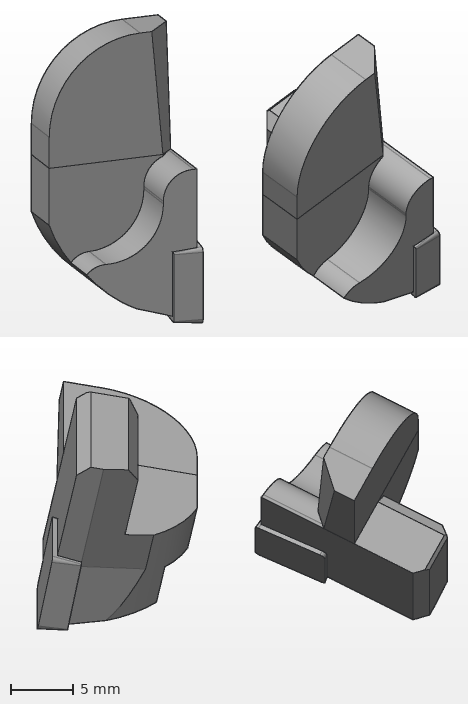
import cadquery as cq
import math

back_y = 10.92
plate_left, plate_right = 6.3, 10.2
top_z = 23.45
split_z = 12.99
far_x = 16.4
margin = 2.35

plate_radius = 7.83

corner_leg_top = 2.09
corner_leg_split = 1.13

shank_front_y = 5.9
shank_chamfer = 0.98
shank_top_chamfer = 0.28

heel_y = 8.9
heel_z = 1.69
rise_angle = 15.0
drop_start_x = 9.47
drop_angle = 10.4
belly_start_z = 8.18
belly_mid = (2.35, 4.27)
belly_end = (5.88, 1.66)

shoulder_y = 10.65
shoulder_radius = 2.48
shoulder_wall = 0.2
valley_radius = 4.7
lip_radius = 2.02
lip_end_y = 1.83

end_back_x = 14.75
end_angle = 7.0

insert_back_y = 11.32
insert_right_x = 15.1
insert_side = 6.45
insert_slope = math.radians(10.0)
insert_radius = 0.4
insert_clearance = 7.0


def side_prism(profile, start_x, end_x):
    """Extrude a closed YZ profile between two X positions."""
    return profile.extrude(end_x - start_x).translate((start_x, 0, 0))


def corner_cut():
    """Wedge whose sloping face continues below the joint as far as the plate corner."""
    leg_rate = (corner_leg_top - corner_leg_split) / (top_z - split_z)
    corner_leg_low = 0.12
    low_z = top_z - (corner_leg_top - corner_leg_low) / leg_rate

    def triangle(work, leg):
        points = [(plate_right, back_y), (plate_right - leg, back_y), (plate_right, back_y - leg)]
        return work.polyline(points).close()

    lower = triangle(cq.Workplane("XY", origin=(0, 0, low_z)), corner_leg_low)
    upper = triangle(lower.workplane(offset=top_z - low_z), corner_leg_top)
    return upper.loft(ruled=True)


def make_cover_plate():
    profile = (
        cq.Workplane("YZ")
        .moveTo(back_y, split_z)
        .lineTo(0, split_z)
        .lineTo(0, top_z - plate_radius)
        .radiusArc((plate_radius, top_z), plate_radius)
        .lineTo(back_y, top_z)
        .close()
    )
    return side_prism(profile, plate_left, plate_right).cut(corner_cut())


def make_shank():
    shank = cq.Workplane("XY").box(
        plate_left, back_y - shank_front_y, split_z + margin, centered=False
    ).translate((0, shank_front_y, -margin))
    shank = shank.edges("|Z and <X").chamfer(shank_chamfer)
    shank = shank.edges("|X and >Z and <Y").chamfer(shank_chamfer)
    top_bevel = (
        cq.Workplane("XZ", origin=(0, back_y, 0))
        .polyline([(0, split_z), (shank_top_chamfer, split_z), (0, split_z - shank_top_chamfer)])
        .close()
        .extrude(back_y)
    )
    return shank.cut(top_bevel)


def underside_cut():
    """Space below both the level and the dropping underside."""
    front_y = -margin
    front_z = (heel_y - front_y) * math.tan(math.radians(rise_angle))
    depth = 5 * margin
    profile = cq.Workplane("YZ").polyline([
        (back_y + margin, 0), (heel_y, 0), (front_y, front_z),
        (front_y, -depth), (back_y + margin, -depth),
    ]).close()
    level = side_prism(profile, -far_x, far_x)
    dropping = level.rotate((0, 0, 0), (0, 1, 0), drop_angle)
    return level.intersect(dropping).translate((drop_start_x, 0, heel_z))


def contour_cut():
    """Space above the contoured top, right of the plate and under its corner cut."""
    wall_y = shoulder_y - shoulder_radius
    wall_top_z = split_z - shoulder_radius
    valley_top_z = wall_top_z - shoulder_wall
    valley_y = wall_y - valley_radius
    valley_z = valley_top_z - valley_radius
    lip_fall = lip_radius - math.sqrt(lip_radius**2 - (valley_y - lip_end_y)**2)
    lip_z = valley_z - lip_fall
    profile = (
        cq.Workplane("YZ")
        .moveTo(shoulder_y, split_z)
        .radiusArc((wall_y, wall_top_z), -shoulder_radius)
        .lineTo(wall_y, valley_top_z)
        .radiusArc((valley_y, valley_z), valley_radius)
        .radiusArc((lip_end_y, lip_z), -lip_radius)
        .lineTo(-margin, lip_z)
        .lineTo(-margin, split_z + margin)
        .lineTo(shoulder_y, split_z + margin)
        .close()
    )
    space = side_prism(profile, plate_left, far_x)
    right_block = cq.Workplane("XY").box(far_x, back_y + margin, top_z, centered=False)
    right_block = right_block.translate((plate_right, -margin, 0))
    return space.intersect(right_block.union(corner_cut()))


def end_cut():
    """Space beyond the slanted cutting end."""
    front_x = end_back_x - back_y * math.tan(math.radians(end_angle))
    return (
        cq.Workplane("XY", origin=(0, 0, -margin))
        .polyline([(end_back_x, back_y), (front_x, 0), (far_x, 0), (far_x, back_y)])
        .close()
        .extrude(top_z)
    )


def make_insert():
    low_z = insert_radius * (1 - math.tan(insert_slope) - 1 / math.cos(insert_slope))
    run = insert_side * math.cos(insert_slope)
    rise = insert_side * math.sin(insert_slope)
    outline = cq.Sketch().polygon([
        (insert_right_x, low_z),
        (insert_right_x, low_z + insert_side),
        (insert_right_x - run, low_z + insert_side + rise),
        (insert_right_x - run, low_z + rise),
        (insert_right_x, low_z),
    ]).vertices().fillet(insert_radius)
    return (
        cq.Workplane("XZ", origin=(0, insert_back_y, 0))
        .placeSketch(outline)
        .extrude(insert_back_y - heel_y, taper=insert_clearance)
    )


def make_cartridge(insert):
    profile = (
        cq.Workplane("YZ")
        .moveTo(back_y, split_z)
        .lineTo(0, split_z)
        .lineTo(0, belly_start_z)
        .threePointArc(belly_mid, belly_end)
        .lineTo(belly_end[0], -margin)
        .lineTo(back_y, -margin)
        .close()
    )
    cartridge = side_prism(profile, plate_left, far_x).union(make_shank()).cut(underside_cut())
    cartridge = cartridge.cut(contour_cut())
    return cartridge.cut(end_cut()).cut(insert)


cover_plate = make_cover_plate()
insert = make_insert()
cartridge = make_cartridge(insert)

result = cq.Compound.makeCompound([cover_plate.val(), *cartridge.vals(), insert.val()])